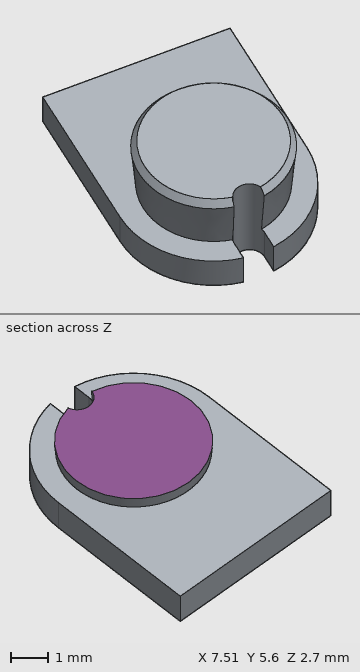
import cadquery as cq
import math

plate_length = 7.51
plate_width = 5.6
plate_height = 1.0
end_radius = plate_width / 2

total_height = 2.7
bevel_height = 0.22
boss_bottom_radius = 2.1
boss_rim_radius = 2.23
boss_top_radius = 2.065
rim_z = total_height - bevel_height

slot_radius = 0.45
slot_offset = 2.2

axis_x = plate_length - math.sqrt(end_radius**2 - slot_radius**2)


def make_plate():
    return (
        cq.Workplane("XY")
        .moveTo(0, -end_radius)
        .lineTo(axis_x, -end_radius)
        .threePointArc((axis_x + end_radius, 0), (axis_x, end_radius))
        .lineTo(0, end_radius)
        .close()
        .extrude(plate_height)
    )


def make_boss():
    return (
        cq.Workplane("XZ")
        .lineTo(boss_bottom_radius, 0)
        .lineTo(boss_bottom_radius, plate_height)
        .lineTo(boss_rim_radius, rim_z)
        .lineTo(boss_top_radius, total_height)
        .lineTo(0, total_height)
        .close()
        .revolve(360, (0, 0), (0, 1))
        .translate((axis_x, 0, 0))
    )


def make_slot():
    slot_center_x = axis_x + slot_offset
    mouth_x = axis_x + end_radius + slot_radius
    return (
        cq.Workplane("XY")
        .moveTo(mouth_x, -slot_radius)
        .lineTo(slot_center_x, -slot_radius)
        .threePointArc((slot_center_x - slot_radius, 0), (slot_center_x, slot_radius))
        .lineTo(mouth_x, slot_radius)
        .close()
        .extrude(total_height)
    )


result = make_plate().union(make_boss()).cut(make_slot())